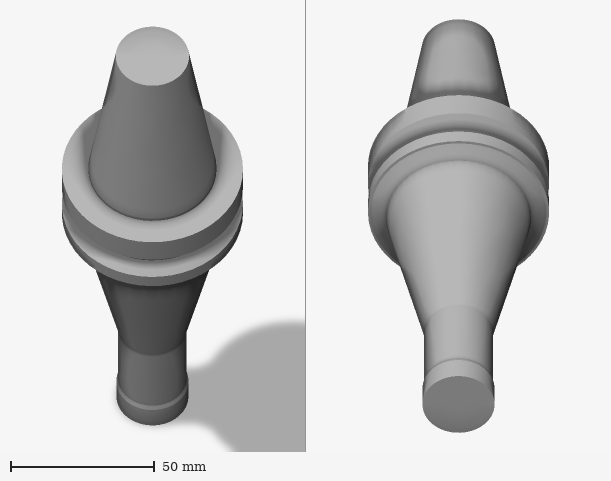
import cadquery as cq
import math

total_length = 200.5
gauge_height = 135.0
gauge_radius = 44.5 / 2
taper_ratio = 7 / 24
shank_length = total_length - gauge_height
shank_end_radius = gauge_radius - shank_length * taper_ratio / 2

flange_radius = 63.0 / 2
flange_top = 133.9
flange_bottom = 108.0
groove_radius = 53.0 / 2
groove_upper_edge = 123.6
groove_lower_edge = 113.5
flange_slope_angle = math.radians(30)
groove_wall_height = (flange_radius - groove_radius) * math.tan(flange_slope_angle)
groove_floor_top = groove_upper_edge - groove_wall_height
groove_floor_bottom = groove_lower_edge + groove_wall_height

cone_top_radius = 25.3
cone_top = 105.0
collar_top_radius = cone_top_radius + (flange_bottom - cone_top) / math.tan(flange_slope_angle)

neck_radius = 23.8 / 2
neck_top = 39.9
blend_height = 1.2
cone_bottom = neck_top + blend_height
tip_radius = 25.0 / 2
tip_top = 9.0
tip_shoulder_top = 10.8

cone_angle = math.atan((cone_top_radius - neck_radius) / (cone_top - cone_bottom))
blend_radius = blend_height / math.sin(cone_angle)


def blend_point(angle):
    """Point (radius, height) on the neck-to-cone arc, with angle measured from the neck."""
    return (
        neck_radius + blend_radius * (1 - math.cos(angle)),
        neck_top + blend_radius * math.sin(angle),
    )


profile = (
    cq.Workplane("XZ")
    .moveTo(0, 0)
    .lineTo(tip_radius, 0)
    .lineTo(tip_radius, tip_top)
    .lineTo(neck_radius, tip_shoulder_top)
    .lineTo(neck_radius, neck_top)
    .threePointArc(blend_point(cone_angle / 2), blend_point(cone_angle))
    .lineTo(cone_top_radius, cone_top)
    .lineTo(collar_top_radius, flange_bottom)
    .lineTo(flange_radius, flange_bottom)
    .lineTo(flange_radius, groove_lower_edge)
    .lineTo(groove_radius, groove_floor_bottom)
    .lineTo(groove_radius, groove_floor_top)
    .lineTo(flange_radius, groove_upper_edge)
    .lineTo(flange_radius, flange_top)
    .lineTo(gauge_radius, flange_top)
    .lineTo(gauge_radius, gauge_height)
    .lineTo(shank_end_radius, total_length)
    .lineTo(0, total_length)
    .close()
)

result = profile.revolve(360, (0, 0, 0), (0, 1, 0))